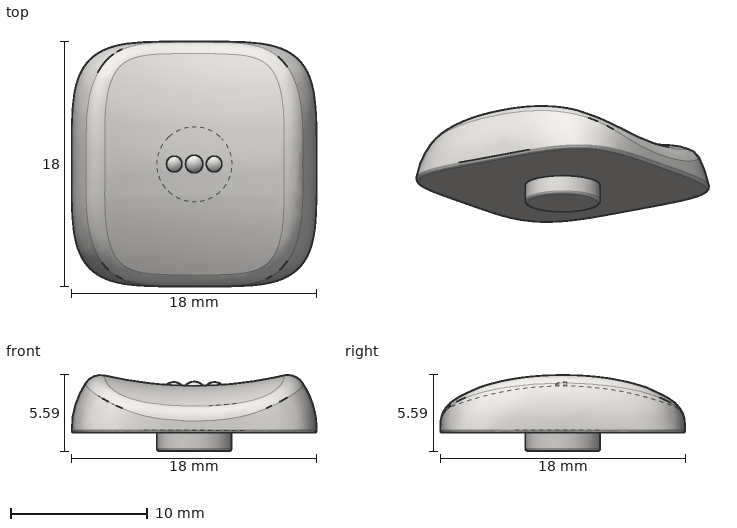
import cadquery as cq
import math

CAP_WIDTH = 17.97
WALL_RADIUS = 6.11
WALL_START = 0.25
WALL_TOP = 5.03
BASE_SQUARENESS = 4.3
TOP_SQUARENESS = 2.6
WALL_SECTIONS = 5
POINTS_PER_OUTLINE = 48
BASE_FILLET = 0.2

SADDLE_HEIGHT = 3.47
DISH_RADIUS = 28.93
CROWN_RADIUS = 22.82
SADDLE_MARGIN = 1.8
RIM_FILLET = 1.31

BUMP_RADIUS = 0.83
BUMP_SPACING = 1.5
CENTRE_BUMP_TOP = 3.77
SIDE_BUMP_TOP = 3.74

STEM_DIAMETER = 5.5
STEM_LENGTH = 1.33
STEM_FILLET = 0.2


def outline(height):
    """Closed superellipse wire of the side walls at a given height."""
    rise = height - WALL_START
    inset = WALL_RADIUS - math.sqrt(WALL_RADIUS**2 - rise**2)
    half_width = CAP_WIDTH / 2 - inset
    share = rise / (WALL_TOP - WALL_START)
    squareness = BASE_SQUARENESS + share * (TOP_SQUARENESS - BASE_SQUARENESS)
    points = []
    for i in range(POINTS_PER_OUTLINE):
        angle = 2 * math.pi * i / POINTS_PER_OUTLINE
        c = math.cos(angle)
        s = math.sin(angle)
        reach = half_width / (abs(c) ** squareness + abs(s) ** squareness) ** (1 / squareness)
        points.append(cq.Vector(reach * c, reach * s, height))
    return cq.Wire.assembleEdges([cq.Edge.makeSpline(points, periodic=True)])


def walls():
    """Solid inside the leaning walls, on a short straight-sided base."""
    step = (WALL_TOP - WALL_START) / (WALL_SECTIONS - 1)
    sections = [outline(WALL_START + i * step) for i in range(WALL_SECTIONS)]
    upper = cq.Workplane(obj=cq.Solid.makeLoft(sections))
    base_outline = outline(WALL_START).moved(cq.Location(cq.Vector(0, 0, -WALL_START)))
    base = cq.Solid.extrudeLinear(base_outline, [], cq.Vector(0, 0, WALL_START))
    base = cq.Workplane(obj=base).faces("<Z").edges().fillet(BASE_FILLET)
    return base.union(upper)


def below_saddle():
    """Solid of revolution about an axis along X whose upper side is the saddle."""
    half = CAP_WIDTH / 2 + SADDLE_MARGIN
    end_rise = DISH_RADIUS - math.sqrt(DISH_RADIUS**2 - half**2)
    axis_height = SADDLE_HEIGHT - CROWN_RADIUS
    return (
        cq.Workplane("XZ")
        .moveTo(-half, axis_height)
        .lineTo(-half, SADDLE_HEIGHT + end_rise)
        .threePointArc((0, SADDLE_HEIGHT), (half, SADDLE_HEIGHT + end_rise))
        .lineTo(half, axis_height)
        .close()
        .revolve(360, (0, axis_height), (1, axis_height))
    )


def bump(x, top):
    return cq.Workplane().sphere(BUMP_RADIUS).translate((x, 0, top - BUMP_RADIUS))


def make_cap():
    cap = walls().intersect(below_saddle())
    cap = cap.faces(">Z").edges().fillet(RIM_FILLET)
    cap = cap.union(bump(0, CENTRE_BUMP_TOP))
    for side in (-1, 1):
        cap = cap.union(bump(side * BUMP_SPACING, SIDE_BUMP_TOP))
    return cap


def make_stem():
    return (
        cq.Workplane()
        .circle(STEM_DIAMETER / 2)
        .extrude(-STEM_LENGTH)
        .faces("<Z")
        .edges()
        .fillet(STEM_FILLET)
    )


cap = make_cap()
stem = make_stem()
result = cq.Compound.makeCompound([cap.val(), stem.val()])